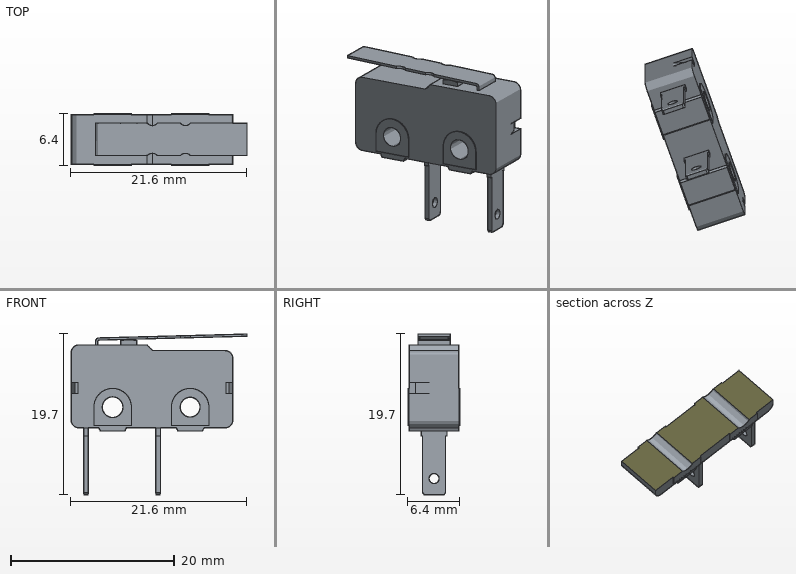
import cadquery as cq
import math


case_length = 19.85
case_thickness = 6.1
case_height = 10.2
low_top_height = 9.5
step_end_x = 10.0
corner_radius = 1.0

overall_thickness = 6.4
left_hole_x = 5.1
hole_spacing = 9.5
right_hole_x = left_hole_x + hole_spacing
hole_z = 2.55
left_hole_diameter = 2.5
right_hole_diameter = 2.4
pad_radius = 2.3
pad_bottom_z = 0.3
foot_top_width = 3.4
foot_bottom_width = 3.0
foot_height = 0.4

recess_bottom_z = 4.25
recess_height = 1.35
recess_depth = 0.85
ramp_depth = 0.48
ramp_start_y = -0.65
ramp_end_y = -2.27

terminal_positions = (1.84, 10.67)
terminal_thickness = 0.6
terminal_width = 2.85
terminal_length = 8.2
terminal_embed = 1.0
shoulder_width = 3.2
shoulder_length = 1.0
tip_length = 0.3
tip_side_inset = 0.2
tip_face_inset = 0.05
eyelet_diameter = 1.2
eyelet_z = -6.2

plunger_x = 7.07
plunger_length = 2.0
plunger_width = 4.0
plunger_side_z = 10.7
plunger_crown_z = 10.83

lever_thickness = 0.3
lever_width = 4.0
lever_left_x = 3.0
lever_end_x = 21.59
lever_top_z = 11.53
lever_angle = math.radians(1.5)
lever_bend_radius = 0.45
leg_embed = 0.5
notch_positions = (9.97, 14.02)
notch_radius = 0.8
notch_depth = 0.3


def make_case():
    step_start_x = step_end_x - (case_height - low_top_height)
    return (
        cq.Workplane("XZ")
        .moveTo(0, 0)
        .lineTo(case_length, 0)
        .lineTo(case_length, low_top_height)
        .lineTo(step_end_x, low_top_height)
        .lineTo(step_start_x, case_height)
        .lineTo(0, case_height)
        .close()
        .extrude(case_thickness / 2, both=True)
        .edges("|Y and (<X or >X)")
        .fillet(corner_radius)
    )


def make_pad(x):
    """Round-topped pad running through the case and standing proud on both faces."""
    return (
        cq.Workplane("XZ")
        .moveTo(x - pad_radius, pad_bottom_z)
        .lineTo(x + pad_radius, pad_bottom_z)
        .lineTo(x + pad_radius, hole_z)
        .threePointArc((x, hole_z + pad_radius), (x - pad_radius, hole_z))
        .close()
        .extrude(overall_thickness / 2, both=True)
    )


def make_foot(x):
    return (
        cq.Workplane("XZ")
        .moveTo(x - foot_top_width / 2, 0)
        .lineTo(x - foot_bottom_width / 2, -foot_height)
        .lineTo(x + foot_bottom_width / 2, -foot_height)
        .lineTo(x + foot_top_width / 2, 0)
        .close()
        .extrude(case_thickness / 2, both=True)
    )


def make_hole(x, diameter):
    return (
        cq.Workplane("XZ")
        .center(x, hole_z)
        .circle(diameter / 2)
        .extrude(overall_thickness, both=True)
    )


def make_recess(end_x, inward):
    """Latch recess at one end of the case; inward is +1 or -1 along X."""
    return (
        cq.Workplane("XY", origin=(0, 0, recess_bottom_z))
        .moveTo(end_x, ramp_start_y)
        .lineTo(end_x + inward * ramp_depth, ramp_end_y)
        .lineTo(end_x + inward * recess_depth, ramp_end_y)
        .lineTo(end_x + inward * recess_depth, -case_thickness / 2)
        .lineTo(end_x, -case_thickness / 2)
        .close()
        .extrude(recess_height)
    )


def make_terminal(x):
    shoulder = cq.Workplane("XY", origin=(x, 0, -shoulder_length)).box(
        terminal_thickness,
        shoulder_width,
        shoulder_length + terminal_embed,
        centered=(True, True, False),
    )
    tip_start_z = tip_length - terminal_length
    blade = cq.Workplane("XY", origin=(x, 0, tip_start_z)).box(
        terminal_thickness,
        terminal_width,
        -tip_start_z,
        centered=(True, True, False),
    )
    tip = (
        cq.Workplane("XY", origin=(x, 0, tip_start_z))
        .rect(terminal_thickness, terminal_width)
        .workplane(offset=-tip_length)
        .rect(terminal_thickness - 2 * tip_face_inset, terminal_width - 2 * tip_side_inset)
        .loft()
    )
    eyelet = (
        cq.Workplane("YZ", origin=(x, 0, eyelet_z))
        .circle(eyelet_diameter / 2)
        .extrude(terminal_thickness, both=True)
    )
    return shoulder.union(blade).union(tip).cut(eyelet)


def make_plunger():
    half_length = plunger_length / 2
    return (
        cq.Workplane("XZ")
        .moveTo(plunger_x - half_length, low_top_height)
        .lineTo(plunger_x + half_length, low_top_height)
        .lineTo(plunger_x + half_length, plunger_side_z)
        .threePointArc((plunger_x, plunger_crown_z), (plunger_x - half_length, plunger_side_z))
        .close()
        .extrude(plunger_width / 2, both=True)
    )


def make_lever():
    def top_z(x):
        return lever_top_z - (lever_end_x - x) * math.tan(lever_angle)

    vertical_thickness = lever_thickness / math.cos(lever_angle)
    leg_bottom_z = case_height - leg_embed
    leg_right_x = lever_left_x + lever_thickness
    profile = (
        cq.Workplane("XZ")
        .moveTo(lever_left_x, leg_bottom_z)
        .lineTo(lever_left_x, top_z(lever_left_x))
        .lineTo(lever_end_x, lever_top_z)
        .lineTo(lever_end_x, lever_top_z - vertical_thickness)
        .lineTo(leg_right_x, top_z(leg_right_x) - vertical_thickness)
        .lineTo(leg_right_x, leg_bottom_z)
        .close()
        .extrude(lever_width / 2, both=True)
    )
    outer_corner = (lever_left_x, 0, top_z(lever_left_x))
    inner_corner = (leg_right_x, 0, top_z(leg_right_x) - vertical_thickness)
    lever = profile.edges(cq.selectors.NearestToPointSelector(outer_corner)).fillet(lever_bend_radius)
    lever = lever.edges(cq.selectors.NearestToPointSelector(inner_corner)).fillet(
        lever_bend_radius - lever_thickness
    )
    notch_center_y = lever_width / 2 + notch_radius - notch_depth
    notch_centers = [(x, side * notch_center_y) for x in notch_positions for side in (-1, 1)]
    notches = (
        cq.Workplane("XY", origin=(0, 0, case_height))
        .pushPoints(notch_centers)
        .circle(notch_radius)
        .extrude(2 * (lever_top_z - case_height))
    )
    return lever.cut(notches)


result = make_case()
for hole_x in (left_hole_x, right_hole_x):
    result = result.union(make_pad(hole_x)).union(make_foot(hole_x))
result = result.cut(make_hole(left_hole_x, left_hole_diameter))
result = result.cut(make_hole(right_hole_x, right_hole_diameter))
result = result.cut(make_recess(0, 1)).cut(make_recess(case_length, -1))
for terminal_x in terminal_positions:
    result = result.union(make_terminal(terminal_x))
result = result.union(make_plunger()).union(make_lever())